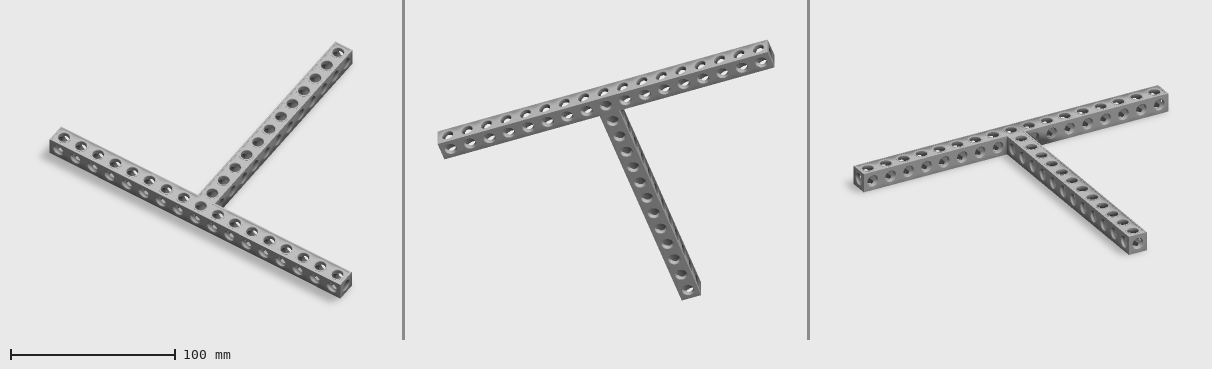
import cadquery as cq

pitch = 12.5
bar_modules = 17
stem_modules = 12
bore_diameter = 7.0
bore_chamfer = 0.3
rim_width = 1.1
ring_diameter = 9.2
recess_depth = 0.2

half = pitch / 2
bore_radius = bore_diameter / 2
bar_end = bar_modules * half
stem_end = stem_modules * pitch + half
bar_centres = [i * pitch + half - bar_end for i in range(bar_modules)]
stem_centres = [(i + 1) * pitch for i in range(stem_modules)]
vertical_centres = [(x, 0) for x in bar_centres] + [(0, y) for y in stem_centres]


def tee(inset, bottom, top):
    """T-shaped slab between two heights, its outline set in from the beam sides by inset."""
    width = pitch - 2 * inset
    height = top - bottom
    bar = cq.Workplane("XY").box(2 * (bar_end - inset), width, height, centered=(True, True, False))
    stem = cq.Workplane("XY").box(width, stem_end - inset, height, centered=(True, False, False))
    return bar.union(stem).translate((0, 0, bottom)).val()


def top_recess():
    """Shallow T-shaped pocket with a round island for the collar of each vertical bore."""
    floor = half - recess_depth
    islands = [
        cq.Solid.makeCylinder(ring_diameter / 2, recess_depth, cq.Vector(x, y, floor))
        for x, y in vertical_centres
    ]
    return tee(rim_width, floor, half).cut(*islands)


def chamfered_bore(start, end):
    """Cutting tools for a through bore from start to end, chamfered at both mouths."""
    start = cq.Vector(*start)
    end = cq.Vector(*end)
    axis = (end - start).normalized()
    mouth_radius = bore_radius + bore_chamfer
    return [
        cq.Solid.makeCylinder(bore_radius, (end - start).Length, start, axis),
        cq.Solid.makeCone(mouth_radius, bore_radius, bore_chamfer, start, axis),
        cq.Solid.makeCone(mouth_radius, bore_radius, bore_chamfer, end, axis * -1),
    ]


def all_bores():
    """Cutting tools for every bore along Z, Y and X."""
    tools = []
    for x, y in vertical_centres:
        tools += chamfered_bore((x, y, -half), (x, y, half))

    for x in bar_centres:
        far_side = stem_end if x == 0 else half
        tools += chamfered_bore((x, -half, 0), (x, far_side, 0))

    tools += chamfered_bore((-bar_end, 0, 0), (bar_end, 0, 0))
    for y in stem_centres:
        tools += chamfered_bore((-half, y, 0), (half, y, 0))
    return tools


beam = tee(0, -half, half)
result = cq.Workplane(obj=beam.cut(top_recess(), *all_bores()))